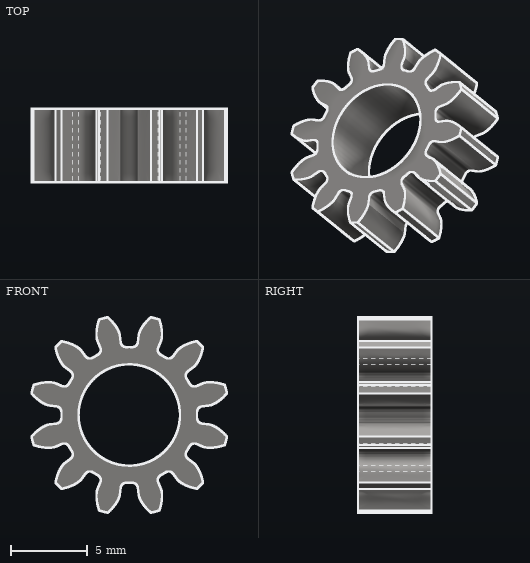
import cadquery as cq
import math

tooth_count = 12
outside_diameter = 13.07
face_width = 4.8
bore_diameter = 6.6
pressure_angle = math.radians(20)
dedendum_factor = 1.25
root_fillet = 0.36
flank_points = 7

module = outside_diameter / (tooth_count + 2)
pitch_radius = module * tooth_count / 2
tip_radius = outside_diameter / 2
root_radius = pitch_radius - dedendum_factor * module
base_radius = pitch_radius * math.cos(pressure_angle)
tooth_pitch = 2 * math.pi / tooth_count


def involute(angle):
    return math.tan(angle) - angle


def polar(radius, angle):
    """Point at an angle measured clockwise from the vertical."""
    return (radius * math.sin(angle), radius * math.cos(angle))


flank_start = tooth_pitch / 4 - involute(pressure_angle)

fillet_centre_radius = root_radius + root_fillet
fillet_span = math.asin(root_fillet / fillet_centre_radius)
fillet_centre_angle = flank_start - fillet_span
fillet_end_radius = fillet_centre_radius * math.cos(fillet_span)


fillet_middle_angle = (fillet_centre_angle + math.pi + flank_start + math.pi / 2) / 2


def flank(gap_angle, side):
    """Involute from base circle to tip; side is +1 clockwise of the gap, -1 counter-clockwise."""
    points = []
    for i in range(flank_points):
        radius = base_radius + (tip_radius - base_radius) * i / (flank_points - 1)
        roll = involute(math.acos(base_radius / radius))
        points.append(polar(radius, gap_angle + side * (flank_start + roll)))
    return points


def fillet_middle(gap_angle, side):
    """Middle of the root fillet arc on one side of a gap."""
    centre_x, centre_z = polar(fillet_centre_radius, gap_angle + side * fillet_centre_angle)
    offset_x, offset_z = polar(root_fillet, gap_angle + side * fillet_middle_angle)
    return (centre_x + offset_x, centre_z + offset_z)


def gear_outline():
    """Closed outline, going clockwise one gap and one tooth tip at a time."""
    start = flank(0, -1)[-1]
    outline = cq.Workplane("XZ", origin=(0, face_width / 2, 0)).moveTo(*start)
    for i in range(tooth_count):
        gap = i * tooth_pitch
        falling_flank = flank(gap, -1)[::-1]
        rising_flank = flank(gap, 1)
        outline = outline.spline(falling_flank[1:], includeCurrent=True)
        outline = outline.lineTo(*polar(fillet_end_radius, gap - flank_start))
        outline = outline.threePointArc(
            fillet_middle(gap, -1), polar(root_radius, gap - fillet_centre_angle)
        )
        outline = outline.threePointArc(
            polar(root_radius, gap), polar(root_radius, gap + fillet_centre_angle)
        )
        outline = outline.threePointArc(
            fillet_middle(gap, 1), polar(fillet_end_radius, gap + flank_start)
        )
        outline = outline.lineTo(*rising_flank[0])
        outline = outline.spline(rising_flank[1:], includeCurrent=True)
        next_corner = start if i == tooth_count - 1 else flank(gap + tooth_pitch, -1)[-1]
        outline = outline.threePointArc(polar(tip_radius, gap + tooth_pitch / 2), next_corner)
    return outline.close()


blank = gear_outline().extrude(face_width)
result = blank.faces("<Y").workplane(origin=(0, 0, 0)).hole(bore_diameter)